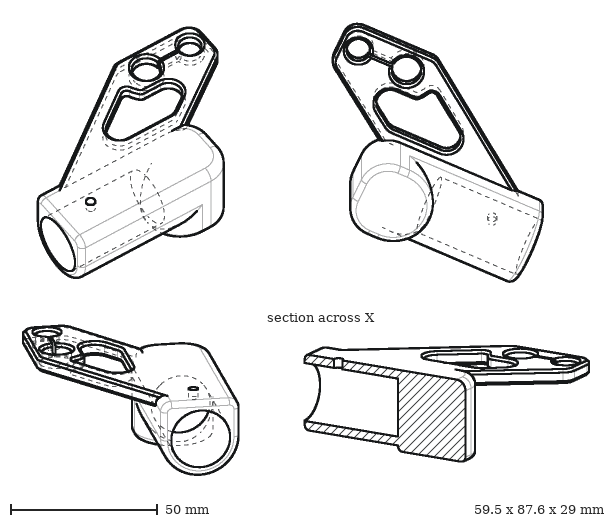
import cadquery as cq
import math

body_width = 27.0
body_length = 64.0
body_height = 29.0
half_width = body_width / 2
tube_axis_z = body_height - half_width
column_axis_y = body_length - half_width
column_corner_radius = 10.0
top_fillet = 3.5
rim_fillet = 2.0

bore_diameter = 20.4
bore_depth = column_axis_y - half_width
pin_diameter = 3.2
pin_y = half_width

arm_thickness = 5.0
arm_bottom_z = body_height - arm_thickness
arm_left_x = -46.0
arm_end_y = 87.55
arm_upper_corner_x = -30.0
arm_lower_corner_y = 55.4
arm_root_x = top_fillet - half_width
arm_upper_slope = 0.708
arm_lower_slope = 0.7274
arm_corner_radius = 5.0
edge_chamfer = 1.0

clamp_x = -38.0
large_hole_y = 62.9
hole_spacing = 18.0
large_hole_diameter = 10.0
small_hole_y = large_hole_y + hole_spacing
small_hole_diameter = 8.0
slit_width = 1.0

window_right_x = -16.5
window_left_x = -29.7
window_upper_rim = 5.25
window_lower_rim = 6.3
window_arc_radius = 11.2
window_corner_radius = 4.8
window_notch_radius = 2.0


def upper_side_x(y, inset=0.0):
    """X on the arm's upper slanted side, moved inward by inset."""
    shift = inset * math.hypot(1, arm_upper_slope)
    return arm_upper_corner_x + arm_upper_slope * (arm_end_y - y) - shift


def upper_side_y(x, inset=0.0):
    """Y on the arm's upper slanted side, moved inward by inset."""
    return arm_end_y - (x - upper_side_x(arm_end_y, inset)) / arm_upper_slope


def lower_side_y(x, inset=0.0):
    """Y on the arm's lower slanted side, moved inward by inset."""
    shift = inset * math.hypot(1, arm_lower_slope) / arm_lower_slope
    return arm_lower_corner_y - (x - arm_left_x) / arm_lower_slope + shift


def fillet_upright(solid, x, y, radius):
    """Round the vertical edge of solid that stands at (x, y)."""
    selector = cq.selectors.NearestToPointSelector((x, y, body_height - arm_thickness / 2))
    return solid.edges("|Z").edges(selector).fillet(radius)


def upright_cylinder(x, y, diameter):
    """Vertical cutter through the thickness of the arm, up to the top face."""
    return cq.Workplane("XY", origin=(x, y, arm_bottom_z)).circle(diameter / 2).extrude(arm_thickness)


def make_column():
    column = (
        cq.Workplane("XY")
        .moveTo(-half_width, column_axis_y)
        .threePointArc((0, column_axis_y - half_width), (half_width, column_axis_y))
        .lineTo(half_width, body_length)
        .lineTo(-half_width, body_length)
        .close()
        .extrude(body_height)
    )
    column = column.edges("|Z and >Y").fillet(column_corner_radius)
    column = column.faces(">Z").edges().fillet(top_fillet)
    return column.faces("<Z").edges().fillet(rim_fillet)


def make_tube():
    tube = (
        cq.Workplane("XZ")
        .moveTo(-half_width, tube_axis_z)
        .threePointArc((0, tube_axis_z - half_width), (half_width, tube_axis_z))
        .lineTo(half_width, body_height)
        .lineTo(-half_width, body_height)
        .close()
        .extrude(-column_axis_y)
    )
    tube = tube.edges("|Y and >Z").fillet(top_fillet)
    return tube.faces("<Y").edges().fillet(rim_fillet)


def window_arc_y(x):
    """Y on the lower half of the window arc around the large clamp hole."""
    return large_hole_y - math.sqrt(window_arc_radius**2 - (x - clamp_x) ** 2)


def window_notch_x():
    """X where the window's lower slanted side meets its arc, right of the hole centre."""
    line_slope = -1 / arm_lower_slope
    line_offset = lower_side_y(clamp_x, window_lower_rim) - large_hole_y
    line_factor = 1 + line_slope**2
    foot_dx = -line_slope * line_offset / line_factor
    foot_distance_squared = line_offset**2 / line_factor
    half_chord = math.sqrt(window_arc_radius**2 - foot_distance_squared)
    return clamp_x + foot_dx + half_chord / math.sqrt(line_factor)


def make_window():
    notch_x = window_notch_x()
    arc_middle_x = (notch_x + window_left_x) / 2
    top_left = (window_left_x, upper_side_y(window_left_x, window_upper_rim))
    top_right = (window_right_x, upper_side_y(window_right_x, window_upper_rim))
    bottom = (window_right_x, lower_side_y(window_right_x, window_lower_rim))
    notch = (notch_x, window_arc_y(notch_x))
    arc_middle = (arc_middle_x, window_arc_y(arc_middle_x))
    arc_end = (window_left_x, window_arc_y(window_left_x))
    window = (
        cq.Workplane("XY", origin=(0, 0, arm_bottom_z))
        .moveTo(*top_left)
        .lineTo(*top_right)
        .lineTo(*bottom)
        .lineTo(*notch)
        .threePointArc(arc_middle, arc_end)
        .close()
        .extrude(arm_thickness)
    )
    for corner in (top_left, top_right, bottom):
        window = fillet_upright(window, *corner, window_corner_radius)
    for corner in (notch, arc_end):
        window = fillet_upright(window, *corner, window_notch_radius)
    return window


def make_arm():
    corners = [
        (arm_left_x, arm_lower_corner_y),
        (arm_left_x, arm_end_y),
        (arm_upper_corner_x, arm_end_y),
    ]
    root_end = [(0, upper_side_y(0)), (0, lower_side_y(0))]
    arm = (
        cq.Workplane("XY", origin=(0, 0, arm_bottom_z))
        .polyline(corners + root_end)
        .close()
        .extrude(arm_thickness)
    )
    for corner in corners:
        arm = fillet_upright(arm, *corner, arm_corner_radius)
    arm = arm.cut(make_window())
    for y, diameter in ((large_hole_y, large_hole_diameter), (small_hole_y, small_hole_diameter)):
        arm = arm.cut(upright_cylinder(clamp_x, y, diameter))
    arm = arm.faces("<Z or >Z").edges().chamfer(edge_chamfer)

    slit = (
        cq.Workplane("XY", origin=(clamp_x, large_hole_y + hole_spacing / 2, arm_bottom_z))
        .rect(slit_width, hole_spacing)
        .extrude(arm_thickness)
    )
    trim_length = arm_root_x - arm_left_x
    trim = (
        cq.Workplane("XY", origin=(arm_left_x, 0, arm_bottom_z))
        .rect(trim_length, arm_end_y, centered=False)
        .extrude(arm_thickness)
    )
    return arm.cut(slit).intersect(trim)


def make_bore():
    return (
        cq.Workplane("XZ", origin=(0, 0, tube_axis_z))
        .circle(bore_diameter / 2)
        .extrude(-bore_depth)
    )


result = (
    make_column()
    .union(make_tube())
    .union(make_arm())
    .cut(make_bore())
    .cut(upright_cylinder(0, pin_y, pin_diameter))
)